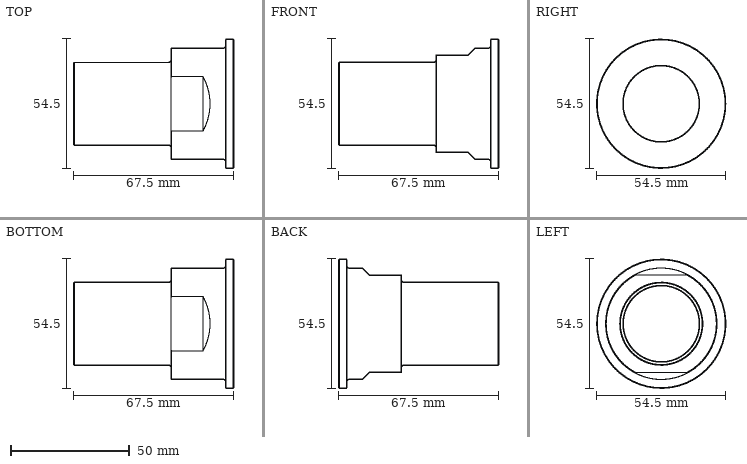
import cadquery as cq

total_length = 67.5
bore_diameter = 32.0
tube_diameter = 35.0
body_diameter = 47.0
flange_diameter = 54.5
tube_length = 41.0
flange_thickness = 3.5
root_fillet = 0.9
edge_chamfer = 0.3
bore_chamfer = 0.2

across_flats = 41.0
flat_length = 13.5

flange_start = total_length - flange_thickness
flat_height = across_flats / 2
flat_end = tube_length + flat_length


def disc(diameter, start, end):
    """Solid cylinder along X between two stations."""
    return cq.Workplane("YZ", origin=(start, 0, 0)).circle(diameter / 2).extrude(end - start)


def edge_circle(diameter, station):
    """Selector for the circular edge centred on the X axis at a station."""
    radius = diameter / 2
    margin = 0.1
    return cq.selectors.BoxSelector(
        (station - margin, -radius - margin, -radius - margin),
        (station + margin, radius + margin, radius + margin),
        boundingbox=True,
    )


def turned_blank():
    """Stepped tube, body and flange with broken rims and filleted roots."""
    tube = disc(tube_diameter, 0, tube_length).faces("<X").chamfer(edge_chamfer)
    body = disc(body_diameter, tube_length, flange_start).faces("<X").chamfer(edge_chamfer)
    flange = disc(flange_diameter, flange_start, total_length).edges().chamfer(edge_chamfer)
    blank = tube.union(body).union(flange)
    blank = blank.edges(edge_circle(tube_diameter, tube_length)).fillet(root_fillet)
    return blank.edges(edge_circle(body_diameter, flange_start)).fillet(root_fillet)


def flat_cutter():
    """Material removed above the upper wrench flat, including the ramp."""
    cutter_top = flange_diameter / 2
    ramp_length = cutter_top - flat_height
    return (
        cq.Workplane("XZ")
        .moveTo(tube_length, flat_height)
        .lineTo(flat_end, flat_height)
        .lineTo(flat_end + ramp_length, cutter_top)
        .lineTo(tube_length, cutter_top)
        .close()
        .extrude(body_diameter / 2, both=True)
    )


upper_cutter = flat_cutter()
part = turned_blank().cut(upper_cutter).cut(upper_cutter.mirror("XY"))

part = part.cut(disc(bore_diameter, 0, total_length))
for mouth in (0, total_length):
    part = part.edges(edge_circle(bore_diameter, mouth)).chamfer(bore_chamfer)

result = part